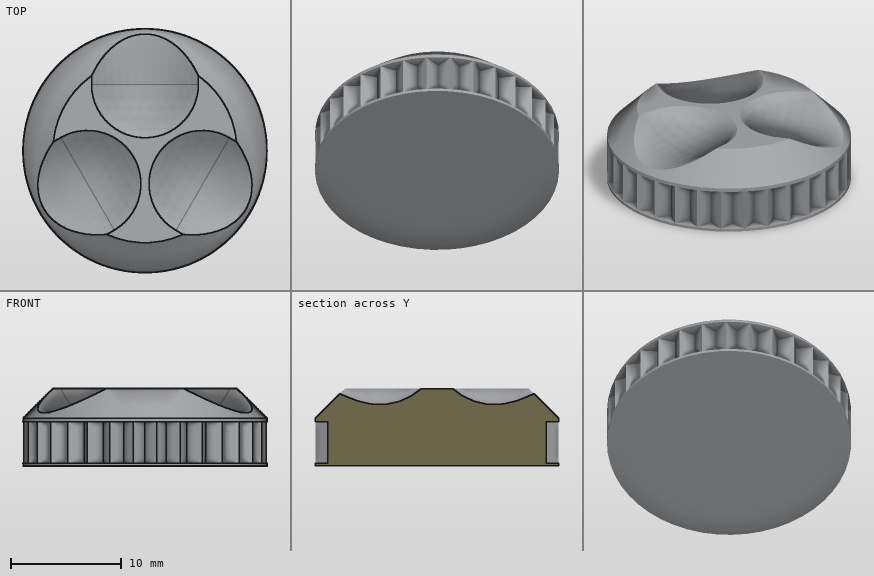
import cadquery as cq
import math

radius = 11.0
height = 7.0
bottom_rim = 0.26
bevel_base = 4.31
top_radius = 8.3

tooth_count = 32
grip_top = 3.98

scoop_count = 3
scoop_distance = 5.98
scoop_half_width = 4.82
scoop_depth = 2.2
first_scoop_angle = 90.0

scoop_radius = (scoop_half_width**2 + scoop_depth**2) / (2 * scoop_depth)
scoop_center_height = height - scoop_depth + scoop_radius


def knob_body():
    """Turned disc with a conical bevel around the flat top."""
    return (
        cq.Workplane("XZ")
        .polyline([(0, 0), (radius, 0), (radius, bevel_base), (top_radius, height), (0, height)])
        .close()
        .revolve(360, (0, 0, 0), (0, 1, 0))
    )


def grip_ring():
    """Material to remove between the pointed teeth around the grip."""
    half_pitch = math.pi / tooth_count
    half_groove = radius * math.sin(half_pitch)
    valley_radius = radius * math.cos(half_pitch) - half_groove
    outline = []
    for i in range(tooth_count):
        valley_angle = 2 * half_pitch * i
        tip_angle = valley_angle + half_pitch
        outline.append((valley_radius * math.cos(valley_angle), valley_radius * math.sin(valley_angle)))
        outline.append((radius * math.cos(tip_angle), radius * math.sin(tip_angle)))
    grip_height = grip_top - bottom_rim
    base = cq.Workplane("XY").workplane(offset=bottom_rim)
    teeth = base.polyline(outline).close().extrude(grip_height)
    return base.circle(radius + half_groove).extrude(grip_height).cut(teeth)


def scoop(angle):
    """Ball-ended cutter lying level and running outward through the bevel."""
    diagonal = scoop_radius * math.sqrt(0.5)
    cutter = (
        cq.Workplane("XZ")
        .moveTo(-scoop_radius, 0)
        .threePointArc((-diagonal, diagonal), (0, scoop_radius))
        .lineTo(radius, scoop_radius)
        .lineTo(radius, 0)
        .close()
        .revolve(360, (0, 0, 0), (1, 0, 0))
        .translate((scoop_distance, 0, scoop_center_height))
    )
    return cutter.rotate((0, 0, 0), (0, 0, 1), angle)


result = knob_body().cut(grip_ring())
for i in range(scoop_count):
    result = result.cut(scoop(first_scoop_angle + i * 360 / scoop_count))